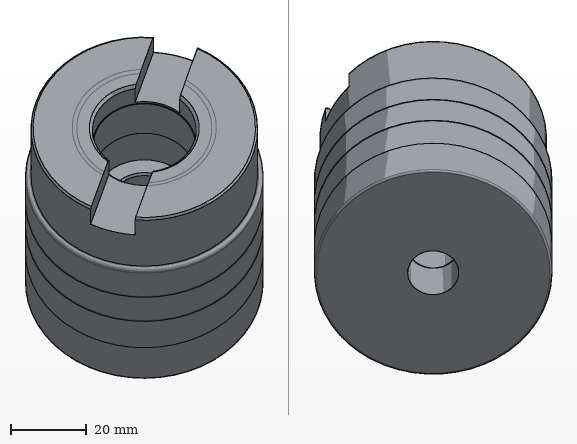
import cadquery as cq

TOTAL_HEIGHT = 70.0
SHOULDER_Z = 48.85
UPPER_SEAM_Z = 36.9
MIDDLE_SEAM_Z = 26.05
LOWER_SEAM_Z = 14.15

BODY_DIAMETER = 62.9
NECK_DIAMETER = 60.0
NECK_CHAMFER = 0.55
SHOULDER_ROUND = 1.2
BASE_ROUND = 0.55
SEAM_ROUND = 0.2

SLOT_WIDTH = 12.25
SLOT_DEPTH = 7.2
SLOT_ANGLE = -45.0

RECESS_DIAMETER = 38.15
RECESS_FLOOR_DIAMETER = 35.8
RECESS_DEPTH = 0.3
MOUTH_DIAMETER = 29.05
COUNTERBORE_DIAMETER = 27.45
COUNTERBORE_DEPTH = 7.9
MOUTH_CHAMFER_DEPTH = 0.85
HEAD_BORE = 27.0

UPPER_PLATE_BORE = 17.5
LOWER_PLATE_BORE = 16.4
BASE_BORE = 13.5
PLATE_BORE_CHAMFER = 0.55
BASE_BORE_CHAMFER = 0.3


def make_disc(bottom, top, bore):
    """Plain round disc with a through bore."""
    disc = cq.Workplane().workplane(offset=bottom).circle(BODY_DIAMETER / 2).circle(bore / 2)
    return disc.extrude(top - bottom)


def round_rim(disc, face, radius):
    """Round the outer edge of the top (">Z") or bottom ("<Z") face."""
    return disc.faces(face).edges(cq.selectors.RadiusNthSelector(-1)).fillet(radius)


def chamfer_bore(disc, size):
    """Chamfer the upper mouth of the bore."""
    return disc.faces(">Z").edges(cq.selectors.RadiusNthSelector(0)).chamfer(size)


def make_head():
    """Neck-sized head with a stepped bore and a slot across its top."""
    neck_radius = NECK_DIAMETER / 2
    recess_z = TOTAL_HEIGHT - RECESS_DEPTH
    counterbore_z = TOTAL_HEIGHT - COUNTERBORE_DEPTH
    profile = [
        (HEAD_BORE / 2, SHOULDER_Z),
        (neck_radius, SHOULDER_Z),
        (neck_radius, TOTAL_HEIGHT - NECK_CHAMFER),
        (neck_radius - NECK_CHAMFER, TOTAL_HEIGHT),
        (RECESS_DIAMETER / 2, TOTAL_HEIGHT),
        (RECESS_FLOOR_DIAMETER / 2, recess_z),
        (MOUTH_DIAMETER / 2, recess_z),
        (COUNTERBORE_DIAMETER / 2, recess_z - MOUTH_CHAMFER_DEPTH),
        (COUNTERBORE_DIAMETER / 2, counterbore_z),
        (HEAD_BORE / 2, counterbore_z),
    ]
    blank = cq.Workplane("XZ").polyline(profile).close().revolve(360, (0, 0, 0), (0, 1, 0))
    slot = (
        cq.Workplane()
        .box(2 * NECK_DIAMETER, SLOT_WIDTH, SLOT_DEPTH, centered=(True, True, False))
        .rotate((0, 0, 0), (0, 0, 1), SLOT_ANGLE)
        .translate((0, 0, TOTAL_HEIGHT - SLOT_DEPTH))
    )
    return blank.cut(slot)


def make_collar():
    """Collar that carries the head on its rounded shoulder."""
    return round_rim(make_disc(UPPER_SEAM_Z, SHOULDER_Z, HEAD_BORE), ">Z", SHOULDER_ROUND)


def make_upper_plate():
    """Plate that forms the floor of the wide bore."""
    disc = make_disc(MIDDLE_SEAM_Z, UPPER_SEAM_Z, UPPER_PLATE_BORE)
    return chamfer_bore(round_rim(disc, ">Z", SEAM_ROUND), PLATE_BORE_CHAMFER)


def make_lower_plate():
    """Plate between the upper plate and the base."""
    disc = make_disc(LOWER_SEAM_Z, MIDDLE_SEAM_Z, LOWER_PLATE_BORE)
    return chamfer_bore(round_rim(disc, ">Z", SEAM_ROUND), PLATE_BORE_CHAMFER)


def make_base():
    """Bottom disc with the narrowest bore and a rounded lower rim."""
    disc = make_disc(0, LOWER_SEAM_Z, BASE_BORE)
    return chamfer_bore(round_rim(disc, "<Z", BASE_ROUND), BASE_BORE_CHAMFER)


head = make_head()
collar = make_collar()
upper_plate = make_upper_plate()
lower_plate = make_lower_plate()
base = make_base()

result = cq.Compound.makeCompound(
    [head.val(), collar.val(), upper_plate.val(), lower_plate.val(), base.val()]
)